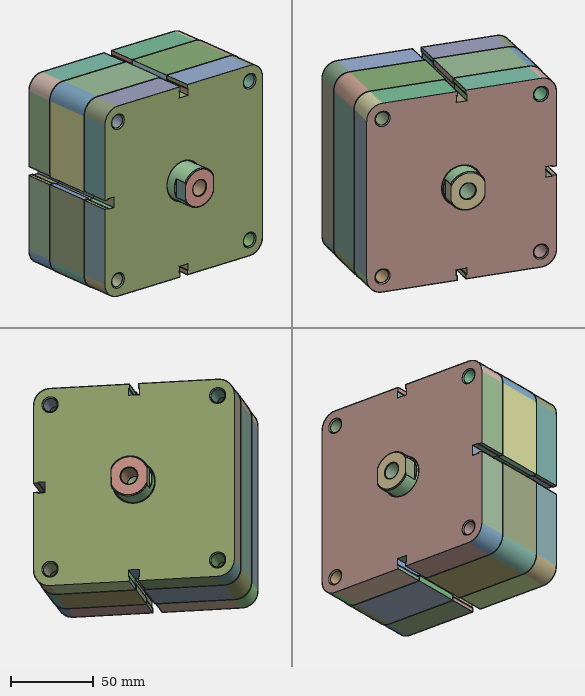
import cadquery as cq
import math


left_cap_length = 20.0
barrel_length = 32.5
right_cap_length = 19.5
left_protrusion = 10.0
right_protrusion = 15.0

barrel_start = left_cap_length
right_cap_start = barrel_start + barrel_length
body_end = right_cap_start + right_cap_length

barrel_side = 124.0
barrel_overhang = 0.2
cap_side = barrel_side - 2 * barrel_overhang
barrel_corner_radius = 10.4
cap_corner_radius = barrel_corner_radius - barrel_overhang

screw_spacing = 103.0
screw_hole_diameter = 8.4
screw_hole_chamfer = 0.7

slot_bottom_depth = 7.3
slot_inner_width = 6.8
cap_slot_mouth = 5.7
barrel_slot_mouth = 5.0
cap_slot_neck_depth = 3.1
barrel_slot_neck_depth = 3.7
slot_angles = (0, 90, 180)

rod_diameter = 25.0
rod_end_chamfer = 0.6
rod_start = -left_protrusion
rod_end = body_end + right_protrusion
rod_bore_chamfer = 0.6
flat_length = 8.5
flat_spacing = 22.0
shoulder_chamfer = 0.2
rod_hole_diameter = 10.2
rod_hole_chamfer = 0.4
rod_hole_depth = 19.8
drill_point_angle = 118.0


def cylinder_x(diameter, start, end):
    """Cylinder on the X axis between two X positions."""
    return cq.Workplane("YZ", origin=(start, 0, 0)).circle(diameter / 2).extrude(end - start)


def cone_x(start_diameter, end_diameter, start, length):
    """Cone on the X axis; a negative length points it toward -X."""
    direction = cq.Vector(math.copysign(1, length), 0, 0)
    cone = cq.Solid.makeCone(
        start_diameter / 2, end_diameter / 2, abs(length), cq.Vector(start, 0, 0), direction
    )
    return cq.Workplane(obj=cone)


def t_slot(start, length, mouth_width, neck_depth):
    """Cutter for one T-slot in the +Z face."""
    top = barrel_side / 2
    bottom = top - slot_bottom_depth
    neck_bottom = top - neck_depth
    mouth = (
        cq.Workplane("XY", origin=(start, 0, bottom))
        .box(length, mouth_width, slot_bottom_depth, centered=(False, True, False))
    )
    undercut = (
        cq.Workplane("XY", origin=(start, 0, bottom))
        .box(length, slot_inner_width, neck_bottom - bottom, centered=(False, True, False))
    )
    return mouth.union(undercut)


def slotted_block(start, length, side, corner_radius, mouth_width, neck_depth):
    """Rounded square block with rod bore, screw holes and T-slots."""
    block = (
        cq.Workplane("YZ", origin=(start, 0, 0))
        .rect(side, side)
        .extrude(length)
        .edges("|X")
        .fillet(corner_radius)
    )
    screw_holes = (
        cq.Workplane("YZ", origin=(start, 0, 0))
        .rect(screw_spacing, screw_spacing, forConstruction=True)
        .vertices()
        .circle(screw_hole_diameter / 2)
        .extrude(length)
    )
    block = block.cut(screw_holes).cut(cylinder_x(rod_diameter, start, start + length))
    slot = t_slot(start, length, mouth_width, neck_depth)
    for angle in slot_angles:
        block = block.cut(slot.rotate((0, 0, 0), (1, 0, 0), angle))
    return block


def end_cap(start, length, outer_face):
    """End cap; the rod bore and screw holes are chamfered on the outer face."""
    cap = slotted_block(
        start, length, cap_side, cap_corner_radius, cap_slot_mouth, cap_slot_neck_depth
    )
    screw_hole_rims = cq.selectors.RadiusNthSelector(0)
    rod_bore_rim = cq.selectors.RadiusNthSelector(-1)
    cap = cap.faces(outer_face).edges(screw_hole_rims).chamfer(screw_hole_chamfer)
    return cap.faces(outer_face).edges(rod_bore_rim).chamfer(rod_bore_chamfer)


def barrel_block():
    return slotted_block(
        barrel_start,
        barrel_length,
        barrel_side,
        barrel_corner_radius,
        barrel_slot_mouth,
        barrel_slot_neck_depth,
    )


def rod_end_hole(end, inward):
    """Cutter for the blind drilled hole in a rod end; inward is +1 or -1 along X."""
    bottom = end + inward * rod_hole_depth
    point_length = rod_hole_diameter / 2 / math.tan(math.radians(drill_point_angle / 2))
    mouth_diameter = rod_hole_diameter + 2 * rod_hole_chamfer
    hole = cylinder_x(rod_hole_diameter, min(end, bottom), max(end, bottom))
    hole = hole.union(cone_x(rod_hole_diameter, 0, bottom, inward * point_length))
    return hole.union(cone_x(mouth_diameter, rod_hole_diameter, end, inward * rod_hole_chamfer))


def rod_end_flats(end, inward):
    """Cutter for the -Y and +Y wrench flats on a rod end, with a chamfered rim on each shoulder.

    The chamfer cone and the slabs run on past the rod surface so that the cut is clean.
    """
    cone_length = 2 * shoulder_chamfer
    rim_diameter = rod_diameter - 2 * shoulder_chamfer
    outer_diameter = rim_diameter + 2 * cone_length
    shoulder = end + inward * flat_length

    cutter_length = flat_length + cone_length
    cutter_width = rod_diameter / 2
    offset = (flat_spacing + cutter_width) / 2
    slabs = (
        cq.Workplane("XY", origin=(end + inward * cutter_length / 2, 0, 0))
        .pushPoints([(0, -offset), (0, offset)])
        .box(cutter_length, cutter_width, rod_diameter)
    )
    return slabs.cut(cone_x(rim_diameter, outer_diameter, shoulder, inward * cone_length))


def through_rod():
    body = cylinder_x(rod_diameter, rod_start, rod_end).faces("<X or >X").chamfer(rod_end_chamfer)
    for end, inward in ((rod_start, 1), (rod_end, -1)):
        body = body.cut(rod_end_flats(end, inward)).cut(rod_end_hole(end, inward))
    return body


left_cap = end_cap(0, left_cap_length, "<X")
barrel = barrel_block()
right_cap = end_cap(right_cap_start, right_cap_length, ">X")
rod = through_rod()

result = cq.Compound.makeCompound([left_cap.val(), barrel.val(), right_cap.val(), rod.val()])